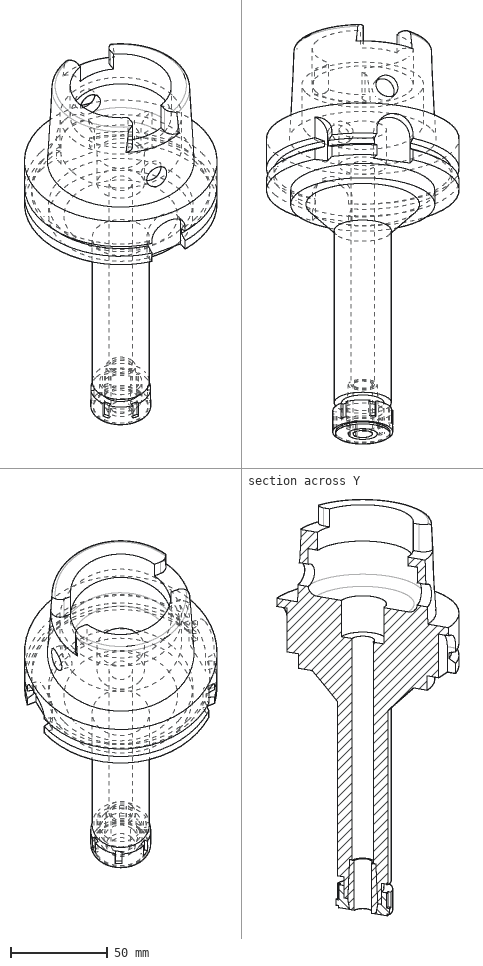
import cadquery as cq
import math


total_length = 215.0
shank_length = 50.0
nose_z = shank_length - total_length

shank_base_radius = 38.0
shank_top_radius = 35.7
shank_rim_fillet = 1.7
bore_radius = 26.2
bore_lip_depth = 20.0
recess_radius = 31.5
recess_depth = 45.2
recess_floor_fillet = 5.0
cross_hole_radius = 6.0
cross_hole_z = 15.5

slot_width = 20.0
slot_corner_radius = 5.0
slot_corner_x = 32.7
slot_depth_left = 9.9
slot_depth_right = 15.0

flange_diameter = 100.0
flange_radius = flange_diameter / 2
flange_bottom_z = -28.8
groove_radius = 46.2
groove_upper_edge_z = -16.8
groove_upper_floor_z = -18.0
groove_lower_floor_z = -21.0
groove_lower_edge_z = -23.2

notch_top_z = -4.7
key_notch_floor_x = 44.0
index_notch_floor_x = 32.5
index_notch_side_y = 31.2

spigot_radius = 37.5
spigot_bottom_z = -36.8
tube_radius = 14.8
cone_height = 14.6
tube_bottom_z = -147.5
neck_radius = 11.0

counterbore_radius = 12.3
counterbore_depth = 20.0
passage_radius = 6.0

nut_diameter = 31.2
nut_radius = nut_diameter / 2
nut_top_z = -152.0
nut_lip_radius = 14.2
nut_lip_height = 1.0
nut_slot_count = 6
nut_slot_width = 3.5
nut_slot_depth = 1.7
nut_slot_height = 8.4
thread_length = 7.0

collet_nose_radius = 7.5
collet_length = 27.5
collet_seat_radius = 8.5
collet_bore_radius = 5.0

neck_bottom_z = nut_top_z - thread_length


def turned(profile_points):
    """Solid of revolution about Z from (radius, z) points."""
    return cq.Workplane("YZ").polyline(profile_points).close().revolve(360, (0, 0, 0), (0, 1, 0))


def cylinder(radius, bottom_z, top_z):
    return cq.Workplane("XY").workplane(offset=bottom_z).circle(radius).extrude(top_z - bottom_z)


def collet_envelope():
    """Outside of the collet: two cones, widest where the nut meets the holder neck."""
    return turned([
        (0, nose_z),
        (collet_nose_radius, nose_z),
        (collet_seat_radius, neck_bottom_z),
        (collet_nose_radius, nose_z + collet_length),
        (0, nose_z + collet_length),
    ])


def holder_blank():
    """Turned outside of the holder, with the shank rim rounded."""
    blank = turned([
        (0, shank_length),
        (shank_top_radius, shank_length),
        (shank_base_radius, 0),
        (flange_radius, 0),
        (flange_radius, groove_upper_edge_z),
        (groove_radius, groove_upper_floor_z),
        (groove_radius, groove_lower_floor_z),
        (flange_radius, groove_lower_edge_z),
        (flange_radius, flange_bottom_z),
        (spigot_radius, flange_bottom_z),
        (spigot_radius, spigot_bottom_z),
        (tube_radius + cone_height, spigot_bottom_z),
        (tube_radius, spigot_bottom_z - cone_height),
        (tube_radius, tube_bottom_z),
        (neck_radius, tube_bottom_z),
        (neck_radius, neck_bottom_z),
        (0, neck_bottom_z),
    ])
    return blank.faces(">Z").edges().fillet(shank_rim_fillet)


def holder_cavity():
    """Stepped opening along the axis: bore, wider round-cornered recess, counterbore and passage."""
    recess_floor_z = shank_length - recess_depth
    lip_bottom_z = shank_length - bore_lip_depth
    fillet_radius = recess_floor_fillet
    fillet_center_r = recess_radius - fillet_radius
    fillet_center_z = recess_floor_z + fillet_radius
    fillet_middle = fillet_radius * math.sin(math.pi / 4)
    counterbore_floor_z = recess_floor_z - counterbore_depth
    profile = (
        cq.Workplane("YZ")
        .moveTo(0, shank_length)
        .lineTo(bore_radius, shank_length)
        .lineTo(bore_radius, lip_bottom_z)
        .lineTo(recess_radius, lip_bottom_z)
        .lineTo(recess_radius, fillet_center_z)
        .threePointArc(
            (fillet_center_r + fillet_middle, fillet_center_z - fillet_middle),
            (fillet_center_r, recess_floor_z),
        )
        .lineTo(counterbore_radius, recess_floor_z)
        .lineTo(counterbore_radius, counterbore_floor_z)
        .lineTo(passage_radius, counterbore_floor_z)
        .lineTo(passage_radius, neck_bottom_z)
        .lineTo(0, neck_bottom_z)
        .close()
    )
    return profile.revolve(360, (0, 0, 0), (0, 1, 0))


def drive_slot(side, depth):
    """Slot through one side of the shank wall that flares outward in two quarter rounds."""
    half_width = slot_width / 2
    flare_start_x = slot_corner_x - slot_corner_radius
    flare_y = half_width + slot_corner_radius
    middle_x = slot_corner_x - slot_corner_radius * (1 - math.sin(math.pi / 4))
    middle_y = flare_y - slot_corner_radius * math.cos(math.pi / 4)
    return (
        cq.Workplane("XY")
        .workplane(offset=shank_length - depth)
        .moveTo(0, -half_width)
        .lineTo(side * flare_start_x, -half_width)
        .threePointArc((side * middle_x, -middle_y), (side * slot_corner_x, -flare_y))
        .lineTo(side * slot_corner_x, -shank_base_radius)
        .lineTo(side * shank_base_radius, -shank_base_radius)
        .lineTo(side * shank_base_radius, shank_base_radius)
        .lineTo(side * slot_corner_x, shank_base_radius)
        .lineTo(side * slot_corner_x, flare_y)
        .threePointArc((side * middle_x, middle_y), (side * flare_start_x, half_width))
        .lineTo(0, half_width)
        .close()
        .extrude(depth)
    )


def flange_notch(side, floor_x, center_y):
    """Round-topped notch cut inward along X to a flat floor, open at the flange bottom."""
    radius = slot_width / 2
    arch_z = notch_top_z - radius
    return (
        cq.Workplane("YZ")
        .workplane(offset=side * floor_x)
        .moveTo(center_y - radius, flange_bottom_z)
        .lineTo(center_y - radius, arch_z)
        .threePointArc((center_y, notch_top_z), (center_y + radius, arch_z))
        .lineTo(center_y + radius, flange_bottom_z)
        .close()
        .extrude(side * (flange_radius - floor_x))
    )


def make_holder():
    cross_hole = (
        cq.Workplane("YZ")
        .center(0, cross_hole_z)
        .circle(cross_hole_radius)
        .extrude(shank_base_radius, both=True)
    )
    holder = holder_blank().cut(holder_cavity()).cut(cross_hole)
    for side, depth in ((-1, slot_depth_left), (1, slot_depth_right)):
        holder = holder.cut(drive_slot(side, depth))
        holder = holder.cut(flange_notch(side, key_notch_floor_x, 0))
    index_notch_y = index_notch_side_y + slot_width / 2
    holder = holder.cut(flange_notch(-1, index_notch_floor_x, index_notch_y))
    return holder.cut(collet_envelope())


def make_nut():
    """Slotted ring that fits over the holder neck and closes around the collet nose."""
    nut = cylinder(nut_radius, nose_z + nut_lip_height, nut_top_z)
    nut = nut.union(cylinder(nut_lip_radius, nose_z, nose_z + nut_lip_height))
    nut = nut.cut(cylinder(neck_radius, neck_bottom_z, nut_top_z)).cut(collet_envelope())
    slots = (
        cq.Workplane("XY")
        .workplane(offset=nut_top_z - nut_slot_height)
        .polarArray(nut_radius, 0, 360, nut_slot_count)
        .rect(2 * nut_slot_depth, nut_slot_width)
        .extrude(nut_slot_height)
    )
    return nut.cut(slots)


def make_collet():
    return collet_envelope().cut(cylinder(collet_bore_radius, nose_z, nose_z + collet_length))


holder = make_holder()
nut = make_nut()
collet = make_collet()
result = cq.Compound.makeCompound([holder.val(), nut.val(), collet.val()])